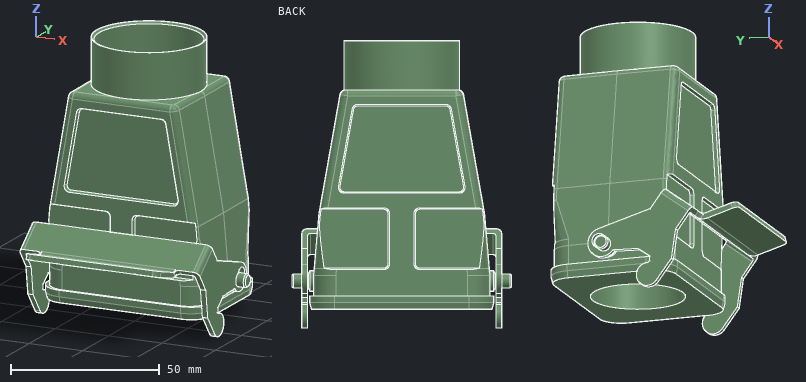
import cadquery as cq
import math


HOOD_HEIGHT = 90.44
BODY_TOP_Z = 73.9
BODY_HALF_Y = 21.5
TOP_EDGE_R = 2.0
SKIRT_HALF_X = 29.7
SKIRT_TOP_Z = 11.5
WAIST_Z = 32.3
LOWER_LEAN = 5
UPPER_LEAN = 10
EDGE_R = 2.5
EDGE_R_START_Z = 28.2
SKIRT_CORNER_R = 7.4
SKIRT_CORNER_END_Z = 13.8
SIDE_RIDGE = 0.25

FLANGE_HALF_X = 31.0
FLANGE_HALF_Y = 22.4
FLANGE_TOP_Z = 4.6
FLANGE_TAPER_Z = 2.3
FLANGE_TAPER_INSET = 0.6
FLANGE_CORNER_R = SKIRT_CORNER_R + FLANGE_HALF_Y - BODY_HALF_Y

NECK_D = 39
SOCKET_D = 37
SOCKET_DEPTH = 15.0
MOUTH_D = 38.8
MOUTH_DEPTH = 0.8
BORE_D = 32

RECESS_DEPTH = 1.3
RECESS_WALL_DRAFT = 20
RECESS_CORNER_R = 2.0
WINDOW_BOTTOM_Z = 39.1
WINDOW_TOP_Z = 69.0
WINDOW_SIDE_MARGIN = 5.0
PANEL_BOTTOM_Z = 13.4
PANEL_TOP_Z = 34.2
RIB_HALF_X = 4.1

PIVOT_Z = 9.6
PIN_D = 4.8
PIN_TIP_D = 4.0
PIN_TIP_LENGTH = 0.6
PIN_HALF_SPAN = 37.0
BOSS_D = 7.0
BOSS_FULL_HALF_X = 30.9
BOSS_HALF_X = 31.45

SHEET = 2.0
LEVER_HALF_X = 33.65
BEND_OUTER_R = 2.0
BEND_INNER_R = 1.0

PLATE_SLOPE = 36.7
PLATE_TOP = (-21.6, 27.2)
PLATE_LENGTH = 12.0
ARM_UPPER_DEPTH = 8.4
ARM_LOWER_DEPTH = 9.4

SLOT_TRAVEL_Y = 1.9
SLOT_TRAVEL_Z = 1.5
SLOT_CENTER = (SLOT_TRAVEL_Y / 2, PIVOT_Z + SLOT_TRAVEL_Z / 2)
EYE_CENTER = (0.75, 10.35)
EYE_R = 5.0
EYE_FOOT_Z = 7.3
HOOK_CENTER = (-15.55, -2.25)
HOOK_R = 4.0
HEEL = (-24.1, 2.4)
CATCH_LIP_Z = 1.5
CATCH_FLOOR = (-15.4, CATCH_LIP_Z)
CATCH_BOTTOM = (-16.3, 2.35)
CATCH_TOP = (-16.3, 4.0)
CATCH_MOUTH = (-12.1, 6.95)

TAB_WIDTH = 50
TAB_SLOPE = 16.0
TAB_TIP_Y = -44.71
TAB_STUB_LENGTH = 2.1
TAB_CORNER_R = 2.0
TAB_ROOT_R = 1.5
TAB_BEND_INNER_R = 2.5


def half_width(z):
    """Half width of the hood body in X at height z."""
    if z <= SKIRT_TOP_Z:
        return SKIRT_HALF_X
    lower_rise = min(z, WAIST_Z) - SKIRT_TOP_Z
    upper_rise = max(z - WAIST_Z, 0)
    lower_inset = lower_rise * math.tan(math.radians(LOWER_LEAN))
    upper_inset = upper_rise * math.tan(math.radians(UPPER_LEAN))
    return SKIRT_HALF_X - lower_inset - upper_inset


def ring(z, outline):
    """Boundary wire of a sketch lifted to height z."""
    return outline.faces().val().outerWire().moved(cq.Location(cq.Vector(0, 0, z)))


def body_ring(z, corner_radius):
    """Body cross-section: a rounded rectangle whose two sides come to a shallow ridge at Y = 0."""
    ridge_x = half_width(z)
    corner_x = ridge_x - SIDE_RIDGE
    right_side = [(corner_x, -BODY_HALF_Y), (ridge_x, 0), (corner_x, BODY_HALF_Y)]
    left_side = [(-x, -y) for x, y in right_side]
    outline = cq.Sketch().polygon([*right_side, *left_side, right_side[0]])
    return ring(z, outline.vertices("<Y or >Y").fillet(corner_radius).reset())


def flange_ring(z, inset):
    outline = cq.Sketch().rect(2 * (FLANGE_HALF_X - inset), 2 * (FLANGE_HALF_Y - inset))
    return ring(z, outline.vertices().fillet(FLANGE_CORNER_R - inset).reset())


def stacked(rings):
    """Straight-walled solids between neighbouring rings, joined one above the other."""
    layers = [cq.Workplane(cq.Solid.makeLoft(list(pair), True)) for pair in zip(rings, rings[1:])]
    solid = layers[0]
    for layer in layers[1:]:
        solid = solid.union(layer)
    return solid


def make_body():
    stations = [
        (FLANGE_TAPER_Z, SKIRT_CORNER_R),
        (SKIRT_TOP_Z, SKIRT_CORNER_R),
        (SKIRT_CORNER_END_Z, SKIRT_CORNER_R),
        (EDGE_R_START_Z, EDGE_R),
        (WAIST_Z, EDGE_R),
        (BODY_TOP_Z, EDGE_R),
    ]
    body = stacked([body_ring(z, radius) for z, radius in stations])
    return body.faces(">Z").edges().fillet(TOP_EDGE_R)


def make_flange():
    stations = [(0, FLANGE_TAPER_INSET), (FLANGE_TAPER_Z, 0), (FLANGE_TOP_Z, 0)]
    return stacked([flange_ring(z, inset) for z, inset in stations])


def recess(corners, side):
    """Draft-walled recess on the face at Y = side * BODY_HALF_Y, from (x, z) corners."""
    face = cq.Plane(origin=(0, side * BODY_HALF_Y, 0), xDir=(-side, 0, 0), normal=(0, side, 0))
    outline = cq.Sketch().polygon([*corners, corners[0]]).vertices().fillet(RECESS_CORNER_R)
    return cq.Workplane(face).placeSketch(outline).extrude(-RECESS_DEPTH, taper=RECESS_WALL_DRAFT)


def make_recesses(side):
    """One window above two panels that run out through the hood's side walls."""
    window_bottom_x = half_width(WINDOW_BOTTOM_Z) - WINDOW_SIDE_MARGIN
    window_top_x = half_width(WINDOW_TOP_Z) - WINDOW_SIDE_MARGIN
    recesses = recess(
        [
            (-window_bottom_x, WINDOW_BOTTOM_Z),
            (window_bottom_x, WINDOW_BOTTOM_Z),
            (window_top_x, WINDOW_TOP_Z),
            (-window_top_x, WINDOW_TOP_Z),
        ],
        side,
    )
    panel_end_x = SKIRT_HALF_X + 2 * RECESS_CORNER_R
    for hand in (-1, 1):
        panel = recess(
            [
                (hand * RIB_HALF_X, PANEL_BOTTOM_Z),
                (hand * panel_end_x, PANEL_BOTTOM_Z),
                (hand * panel_end_x, PANEL_TOP_Z),
                (hand * RIB_HALF_X, PANEL_TOP_Z),
            ],
            side,
        )
        recesses = recesses.add(panel)
    return recesses.combine()


def make_pins():
    """Both pivot pins with their conical shoulders, turned about the pivot axis."""
    half_outline = [
        (0, 0),
        (0, BOSS_D / 2),
        (BOSS_FULL_HALF_X, BOSS_D / 2),
        (BOSS_HALF_X, PIN_D / 2),
        (PIN_HALF_SPAN - PIN_TIP_LENGTH, PIN_D / 2),
        (PIN_HALF_SPAN, PIN_TIP_D / 2),
        (PIN_HALF_SPAN, 0),
    ]
    pivot_plane = cq.Workplane("XZ", origin=(0, 0, PIVOT_Z))
    pin = pivot_plane.polyline(half_outline).close().revolve(360, (0, 0, 0), (1, 0, 0))
    return pin.union(pin.mirror("YZ"))


def make_hood():
    hood = make_body().union(make_flange())
    neck = cq.Workplane("XY", origin=(0, 0, SKIRT_TOP_Z)).circle(NECK_D / 2)
    hood = hood.union(neck.extrude(HOOD_HEIGHT - SKIRT_TOP_Z)).union(make_pins())
    for side in (-1, 1):
        hood = hood.cut(make_recesses(side))
    hood = hood.cut(cq.Workplane("XY").circle(BORE_D / 2).extrude(HOOD_HEIGHT))
    socket = cq.Workplane("XY", origin=(0, 0, HOOD_HEIGHT)).circle(SOCKET_D / 2)
    hood = hood.cut(socket.extrude(-SOCKET_DEPTH))
    mouth = cq.Solid.makeCone(SOCKET_D / 2, MOUTH_D / 2, MOUTH_DEPTH)
    return hood.cut(cq.Workplane(mouth).translate((0, 0, HOOD_HEIGHT - MOUTH_DEPTH)))


def along(point, angle, distance):
    """Point reached from (y, z) by going a distance at an angle measured from +Y toward +Z."""
    direction = math.radians(angle)
    return point[0] + distance * math.cos(direction), point[1] + distance * math.sin(direction)


def side_extrusion(points, half_x):
    """Prism of a (y, z) polygon, centred on X = 0."""
    return cq.Workplane("YZ").polyline(points).close().extrude(half_x, both=True)


def side_disc(center, radius, half_x):
    return cq.Workplane("YZ").center(*center).circle(radius).extrude(half_x, both=True)


def tangent_point(start, center, radius, turn):
    """Point where a straight edge from start touches a circle; turn (1 or -1) picks the side."""
    dy = start[0] - center[0]
    dz = start[1] - center[1]
    swing = math.degrees(math.acos(radius / math.hypot(dy, dz)))
    return along(center, math.degrees(math.atan2(dz, dy)) + turn * swing, radius)


PLATE_DOWN = 180 + PLATE_SLOPE
PLATE_INWARD = PLATE_SLOPE - 90
PLATE_BOTTOM = along(PLATE_TOP, PLATE_DOWN, PLATE_LENGTH)


def plate_plane(origin):
    """Plane parallel to the plate through a (y, z) point: local y runs down it, the normal inward."""
    normal = (0, *along((0, 0), PLATE_INWARD, 1))
    return cq.Plane(origin=(0, *origin), xDir=(1, 0, 0), normal=normal)


def make_bracket():
    """Two arms joined by the cross plate, bent from one sheet."""
    arm_shoulder = along(PLATE_TOP, PLATE_INWARD, ARM_UPPER_DEPTH)
    lip_y = HOOK_CENTER[0] + math.sqrt(HOOK_R**2 - (CATCH_LIP_Z - HOOK_CENTER[1]) ** 2)
    outline = [
        PLATE_TOP,
        PLATE_BOTTOM,
        along(PLATE_BOTTOM, PLATE_INWARD, ARM_LOWER_DEPTH),
        HEEL,
        tangent_point(HEEL, HOOK_CENTER, HOOK_R, 1),
        HOOK_CENTER,
        (lip_y, CATCH_LIP_Z),
        CATCH_FLOOR,
        CATCH_BOTTOM,
        CATCH_TOP,
        CATCH_MOUTH,
        (EYE_CENTER[0] - math.sqrt(EYE_R**2 - (EYE_CENTER[1] - EYE_FOOT_Z) ** 2), EYE_FOOT_Z),
        EYE_CENTER,
        tangent_point(arm_shoulder, EYE_CENTER, EYE_R, -1),
        arm_shoulder,
    ]
    bracket = side_extrusion(outline, LEVER_HALF_X)
    bracket = bracket.union(side_disc(EYE_CENTER, EYE_R, LEVER_HALF_X))
    bracket = bracket.union(side_disc(HOOK_CENTER, HOOK_R, LEVER_HALF_X))

    slot_angle = math.degrees(math.atan2(SLOT_TRAVEL_Z, SLOT_TRAVEL_Y))
    slot_length = math.hypot(SLOT_TRAVEL_Y, SLOT_TRAVEL_Z) + PIN_D
    slot = cq.Workplane("YZ").center(*SLOT_CENTER).slot2D(slot_length, PIN_D, slot_angle)
    bracket = bracket.cut(slot.extrude(LEVER_HALF_X, both=True))

    clearance = 2 * (PLATE_LENGTH + ARM_LOWER_DEPTH + EYE_R - HOOK_CENTER[0])
    inner_plane = plate_plane(along(PLATE_TOP, PLATE_INWARD, SHEET))
    outermost = cq.selectors.DirectionMinMaxSelector(-inner_plane.zDir, True)
    gap = cq.Workplane(inner_plane).rect(2 * (LEVER_HALF_X - SHEET), clearance).extrude(clearance)
    gap = gap.faces(outermost).edges("not |X").fillet(BEND_INNER_R)
    bracket = bracket.cut(gap)

    return bracket.faces(outermost).edges("not |X").fillet(BEND_OUTER_R)


def make_tab():
    """Finger tab: a short run of the plate, then a bend up and outward."""
    root_top = along(PLATE_BOTTOM, PLATE_DOWN, -SHEET)
    root_bottom = along(root_top, PLATE_INWARD, SHEET)
    bend_bottom = along(root_bottom, PLATE_DOWN, SHEET + TAB_STUB_LENGTH)
    tab_out = 180 - TAB_SLOPE
    half_turn = (PLATE_SLOPE + TAB_SLOPE) / 2
    bisector = (PLATE_INWARD + 180 + 90 - TAB_SLOPE) / 2
    bend_top = along(bend_bottom, bisector, SHEET / math.cos(math.radians(half_turn)))
    lower_run = (bend_bottom[0] - TAB_TIP_Y) / math.cos(math.radians(TAB_SLOPE))
    tip_bottom = along(bend_bottom, tab_out, lower_run)
    tip_top = along(tip_bottom, 90 - TAB_SLOPE, SHEET)
    outline = [root_top, root_bottom, bend_bottom, tip_bottom, tip_top, bend_top]
    tab = side_extrusion(outline, TAB_WIDTH / 2)
    tip = cq.selectors.DirectionMinMaxSelector(cq.Vector(0, *along((0, 0), tab_out, 1)), True)
    tab = tab.edges(cq.NearestToPointSelector((0, *bend_top))).fillet(TAB_BEND_INNER_R)
    tab = tab.edges(cq.NearestToPointSelector((0, *bend_bottom))).fillet(TAB_BEND_INNER_R + SHEET)
    return tab.faces(tip).edges("not |X").fillet(TAB_CORNER_R)


def make_tab_roots():
    """Concave rounds, in the plane of the plate, where the tab leaves the plate's lower end."""
    roots = cq.Workplane(plate_plane(PLATE_BOTTOM))
    arc_drop = TAB_ROOT_R * (1 - math.sqrt(0.5))
    for side in (-1, 1):
        edge_x = side * TAB_WIDTH / 2
        roots = (
            roots.moveTo(edge_x, 0)
            .lineTo(edge_x + side * TAB_ROOT_R, 0)
            .threePointArc((edge_x + side * arc_drop, arc_drop), (edge_x, TAB_ROOT_R))
            .close()
        )
    return roots.extrude(SHEET)


def make_lever():
    return make_bracket().union(make_tab()).union(make_tab_roots())


lever = make_lever()
hood = make_hood().cut(lever)
result = cq.Compound.makeCompound([hood.solids().val(), lever.solids().val()])